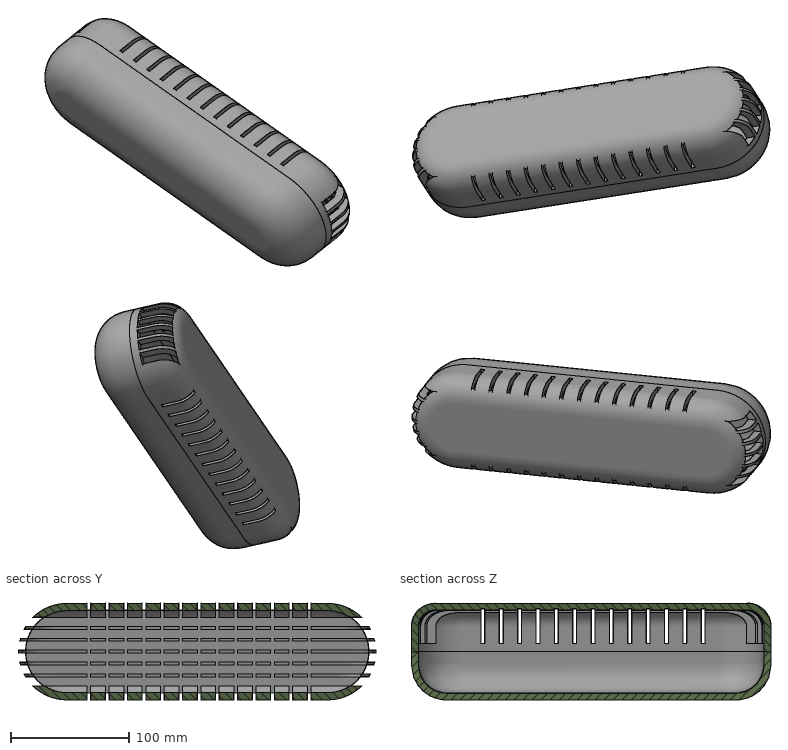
import cadquery as cq

LENGTH = 304.0
HEIGHT = 84.0
DEPTH = 82.0
WALL = 6.0

SHELL_DEPTH = DEPTH / 2
COVER_EDGE_RADIUS = 29.8
HOUSING_EDGE_RADIUS = 20.0

SLOT_BACK_OFFSET = 5.0
SLOT_LENGTH = 29.2
SLOT_CENTER_Y = SHELL_DEPTH - SLOT_BACK_OFFSET - SLOT_LENGTH / 2
SIDE_SLOT_COUNT = 13
SIDE_SLOT_PITCH = 15.5
SIDE_SLOT_SHIFT_X = 1.5
SIDE_SLOT_WIDTH = 3.0
END_SLOT_COUNT = 6
END_SLOT_PITCH = 10.0
END_SLOT_HEIGHT = 7.5


def rounded_stadium(inset, edge_radius, direction):
    """Stadium block from Y = 0 towards +Y or -Y, its far edge rounded, inset evenly on all outer faces."""
    far_face = ">Y" if direction > 0 else "<Y"
    return (
        cq.Workplane("XZ")
        .slot2D(LENGTH - 2 * inset, HEIGHT - 2 * inset)
        .extrude(-direction * (SHELL_DEPTH - inset))
        .faces(far_face)
        .edges()
        .fillet(edge_radius - inset)
    )


def hollow_shell(edge_radius, direction):
    """Half shell of even wall thickness, open at Y = 0."""
    outside = rounded_stadium(0, edge_radius, direction)
    cavity = rounded_stadium(WALL, edge_radius, direction)
    return outside.cut(cavity)


def centered_offsets(count, pitch):
    """Evenly spaced positions, symmetric about zero."""
    return [(index - (count - 1) / 2) * pitch for index in range(count)]


def make_cover():
    return hollow_shell(COVER_EDGE_RADIUS, -1)


def make_housing():
    housing = hollow_shell(HOUSING_EDGE_RADIUS, 1)

    side_slot = cq.Workplane().box(SIDE_SLOT_WIDTH, SLOT_LENGTH, HEIGHT)
    for x in centered_offsets(SIDE_SLOT_COUNT, SIDE_SLOT_PITCH):
        housing = housing.cut(side_slot.translate((x + SIDE_SLOT_SHIFT_X, SLOT_CENTER_Y, 0)))

    end_slot = cq.Workplane().box(LENGTH, SLOT_LENGTH, END_SLOT_HEIGHT)
    for z in centered_offsets(END_SLOT_COUNT, END_SLOT_PITCH):
        housing = housing.cut(end_slot.translate((0, SLOT_CENTER_Y, z)))

    return housing


cover = make_cover()
housing = make_housing()

result = cq.Compound.makeCompound([cover.val(), housing.val()])